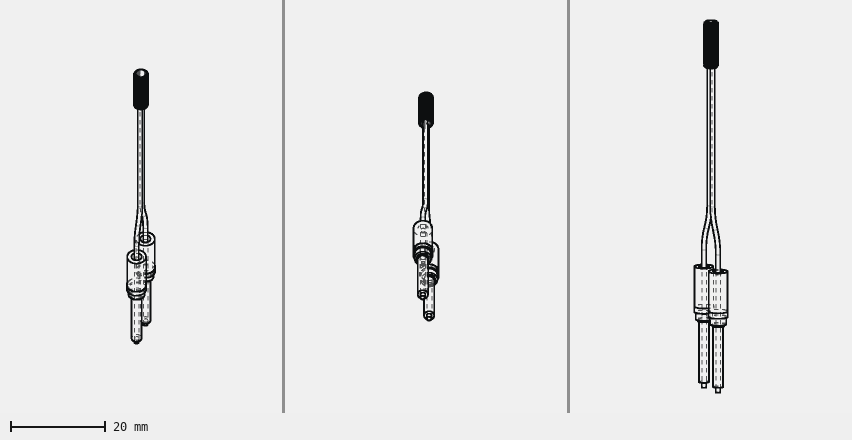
import cadquery as cq
import math

overall_length = 80.0
overall_width = 9.7

fibre_radius = 0.5
fibre_spacing = 1.2
bend_bottom_z = 30.0
bend_height = 10.0
bend_top_z = bend_bottom_z + bend_height

head_length = 10.0
head_bottom_z = overall_length - head_length
head_chamfer = 0.4
thread_diameter = 3.0
thread_turns = 20
thread_pitch = head_length / thread_turns
thread_depth = 0.3
root_flat = thread_pitch / 8
flank_angle = math.radians(30)
groove_clearance = 0.04
groove_overrun = 1.25 * thread_pitch

tube_wall = 0.58
tube_diameter = 2 * (fibre_radius + tube_wall)
shoulder_diameter = 2.6
step_diameter = 3.5
collar_diameter = 4.2
sleeve_diameter = 4.0
ferrule_offset = (overall_width - collar_diameter) / 2

tube_bottom_z = 1.2
shoulder_bottom_z = 14.4
step_bottom_z = 14.8
collar_bottom_z = 16.4
collar_top_z = 17.6
sleeve_top_z = 26.2

mouth_diameter = 2.2
mouth_depth = mouth_diameter / 2 - fibre_radius


def make_head():
    """Fully threaded rod with chamfered ends and a right-hand trapezoidal thread."""
    outer_radius = thread_diameter / 2 + groove_clearance
    root_radius = thread_diameter / 2 - thread_depth
    outer_half_width = root_flat / 2 + (outer_radius - root_radius) * math.tan(flank_angle)
    groove_bottom_z = head_bottom_z - groove_overrun
    groove_height = head_length + 2 * groove_overrun
    helix = cq.Wire.makeHelix(
        thread_pitch, groove_height, root_radius, center=cq.Vector(0, 0, groove_bottom_z)
    )
    groove = (
        cq.Workplane("XZ", origin=(0, 0, groove_bottom_z))
        .polyline([
            (root_radius, root_flat / 2),
            (outer_radius, outer_half_width),
            (outer_radius, -outer_half_width),
            (root_radius, -root_flat / 2),
        ])
        .close()
        .sweep(cq.Workplane(helix), isFrenet=True)
    )
    rod_margin = 2 * thread_pitch
    long_rod = (
        cq.Workplane("XY", origin=(0, 0, groove_bottom_z - rod_margin))
        .circle(thread_diameter / 2)
        .extrude(groove_height + 2 * rod_margin)
    )
    blank = (
        cq.Workplane("XY", origin=(0, 0, head_bottom_z))
        .circle(thread_diameter / 2)
        .extrude(head_length)
        .faces("<Z or >Z")
        .chamfer(head_chamfer)
    )
    return long_rod.cut(groove).intersect(blank)


def make_fibre(side):
    """Round fibre: straight, S-bend of two equal arcs, straight. side is +1 or -1 along Y."""
    top_y = side * fibre_spacing / 2
    bottom_y = side * ferrule_offset
    bend_middle = ((top_y + bottom_y) / 2, (bend_top_z + bend_bottom_z) / 2)
    path = (
        cq.Workplane("YZ")
        .moveTo(bottom_y, 0)
        .lineTo(bottom_y, bend_bottom_z)
        .tangentArcPoint(bend_middle, relative=False)
        .tangentArcPoint((top_y, bend_top_z), relative=False)
        .lineTo(top_y, head_bottom_z)
    )
    return (
        cq.Workplane("XY", origin=(0, bottom_y, 0))
        .circle(fibre_radius)
        .sweep(path)
    )


def make_ferrule(side):
    """Stepped round ferrule with a through bore that fits the fibre. side is +1 or -1 along Y."""
    bore = fibre_radius
    profile = [
        (bore, tube_bottom_z),
        (tube_diameter / 2, tube_bottom_z),
        (tube_diameter / 2, shoulder_bottom_z),
        (shoulder_diameter / 2, shoulder_bottom_z),
        (shoulder_diameter / 2, step_bottom_z),
        (step_diameter / 2, step_bottom_z),
        (step_diameter / 2, collar_bottom_z),
        (collar_diameter / 2, collar_bottom_z),
        (collar_diameter / 2, collar_top_z),
        (sleeve_diameter / 2, collar_top_z),
        (sleeve_diameter / 2, sleeve_top_z),
        (mouth_diameter / 2, sleeve_top_z),
        (bore, sleeve_top_z - mouth_depth),
    ]
    return (
        cq.Workplane("YZ")
        .polyline(profile)
        .close()
        .revolve(360, (0, 0, 0), (0, 1, 0))
        .translate((0, side * ferrule_offset, 0))
    )


head = make_head()
sides = (-1, 1)
fibres = [make_fibre(side) for side in sides]
ferrules = [make_ferrule(side) for side in sides]

result = cq.Compound.makeCompound(
    [head.val(), *[fibre.val() for fibre in fibres], *[ferrule.val() for ferrule in ferrules]]
)